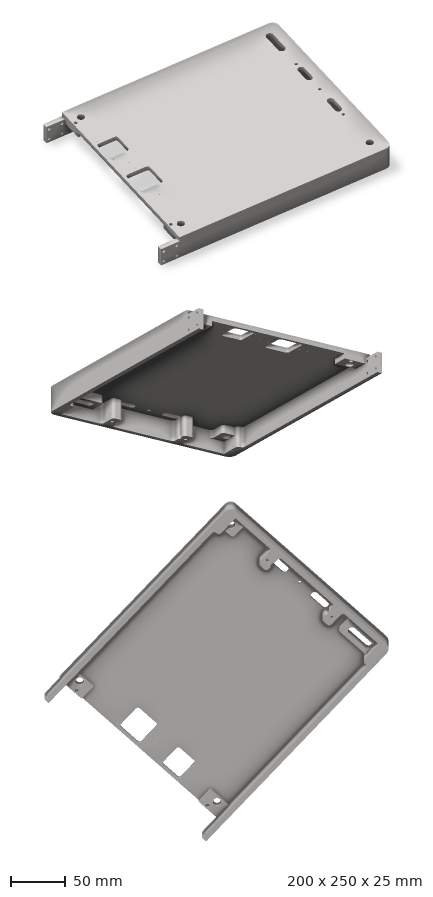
import cadquery as cq

WIDTH = 200.0
PLATE_LENGTH = 230.0
HEIGHT = 25.0
PLATE_THICKNESS = 5.0
WALL = 5.0
OUTER_CORNER_RADIUS = 7.0
INNER_RADIUS = 3.0
CAVITY_HEIGHT = HEIGHT - PLATE_THICKNESS
INNER_X = WIDTH / 2 - WALL
INNER_BACK_Y = PLATE_LENGTH - WALL

ARM_LENGTH = 20.0
ARM_HOLE_DIAMETER = 3.0
ARM_HOLE_SPACING_Y = 14.0
ARM_HOLE_SPACING_Z = 12.0

MOUNT_HOLE_DIAMETER = 7.5
MOUNT_HOLE_X = 85.0
FRONT_MOUNT_HOLE_Y = 11.0
BACK_ROW_Y = PLATE_LENGTH - 15.0
MOUNT_SLOT_TRAVEL = 20.0
EDGE_HOLE_DIAMETER = 3.5
EDGE_HOLE_X = 81.0
EDGE_HOLE_Y = 2.75

CABLE_SLOT_LENGTH = 20.0
CABLE_SLOT_WIDTH = 7.0
CABLE_SLOT_X = 25.0
BACK_SCREW_DIAMETER = 3.0
BACK_SCREW_SPACING = 40.0

WINDOW_FRONT_Y = 3.0
WINDOW_RADIUS = 2.5
SMALL_WINDOW_X = -35.0
SMALL_WINDOW_SIZE = 22.0
LARGE_WINDOW_X = 16.0
LARGE_WINDOW_WIDTH = 25.5
LARGE_WINDOW_LENGTH = 25.0
PILOT_DIAMETER = 0.8
SMALL_WINDOW_PILOT_OFFSET = 13.75
SMALL_WINDOW_PILOT_Y = 5.75
LARGE_WINDOW_PILOT_OFFSETS = (17.0, 26.0)
LARGE_WINDOW_PILOT_Y = 15.25

FRONT_BLOCK_INNER_X = 72.5
FRONT_BLOCK_DEPTH = 16.0
FRONT_BLOCK_HEIGHT = 5.0
BACK_BLOCK_HEIGHT = 8.0
BACK_BLOCK_LEFT_END_X = -54.5
BACK_BLOCK_RIGHT_END_X = 75.5
BACK_DEPTH = 18.0
RIB_WIDTH = 10.5
RIB_X = 39.0
CORNER_POST_WIDTH = 6.2
CORNER_POST_DEPTH = 22.0


def box(x_range, y_range, z_range):
    """Axis-aligned box between the given pairs of limits."""
    spans = [end - start for start, end in (x_range, y_range, z_range)]
    return cq.Workplane().box(*spans, centered=False).translate((x_range[0], y_range[0], z_range[0]))


def corner_fill(corner_x, corner_y, x_direction, y_direction, z_range):
    """Concave fillet filling an inside corner; the directions point into the open space."""
    center = (corner_x + x_direction * INNER_RADIUS, corner_y + y_direction * INNER_RADIUS)
    x_range = sorted((corner_x, center[0]))
    y_range = sorted((corner_y, center[1]))
    z_start, z_end = z_range
    round_space = (
        cq.Workplane("XY", origin=(0, 0, z_start))
        .center(*center)
        .circle(INNER_RADIUS)
        .extrude(z_end - z_start)
    )
    return box(x_range, y_range, z_range).cut(round_space)


def make_shell():
    """Plate with side and back walls, open at the bottom and the front, and two arms."""
    shell = box((-WIDTH / 2, WIDTH / 2), (0, PLATE_LENGTH), (0, HEIGHT))
    shell = shell.edges("|Z and >Y").fillet(OUTER_CORNER_RADIUS)
    shell = shell.cut(box((-INNER_X, INNER_X), (0, INNER_BACK_Y), (0, CAVITY_HEIGHT)))
    for x_range in ((-WIDTH / 2, -INNER_X), (INNER_X, WIDTH / 2)):
        shell = shell.union(box(x_range, (-ARM_LENGTH, WALL), (0, CAVITY_HEIGHT)))
    return shell


def add_front_blocks(body):
    """Thicker plate in both front corners, around the mounting holes."""
    z_range = (CAVITY_HEIGHT - FRONT_BLOCK_HEIGHT, CAVITY_HEIGHT)
    for x_range in ((-INNER_X, -FRONT_BLOCK_INNER_X), (FRONT_BLOCK_INNER_X, INNER_X)):
        body = body.union(box(x_range, (0, FRONT_BLOCK_DEPTH), z_range))
    return body


def add_back_blocks(body):
    """Thicker plate around the mounting slot and the mounting hole of the back row."""
    z_range = (CAVITY_HEIGHT - BACK_BLOCK_HEIGHT, CAVITY_HEIGHT)
    y_range = (INNER_BACK_Y - BACK_DEPTH, INNER_BACK_Y)
    left = box((-INNER_X, BACK_BLOCK_LEFT_END_X), y_range, z_range)
    right = box((BACK_BLOCK_RIGHT_END_X, INNER_X), y_range, z_range)
    body = body.union(left.edges("|Z and >X and <Y").fillet(INNER_RADIUS))
    body = body.union(right.edges("|Z and <X and <Y").fillet(INNER_RADIUS))
    return body.union(corner_fill(BACK_BLOCK_RIGHT_END_X, INNER_BACK_Y, -1, -1, z_range))


def add_back_ribs(body):
    """Full-height ribs on the back wall, rounded at the front and filleted into the wall."""
    z_range = (0, CAVITY_HEIGHT)
    y_range = (INNER_BACK_Y - BACK_DEPTH, INNER_BACK_Y)
    for rib_x, filleted_flanks in ((-RIB_X, (-1, 1)), (RIB_X, (-1,))):
        rib = box((rib_x - RIB_WIDTH / 2, rib_x + RIB_WIDTH / 2), y_range, z_range)
        body = body.union(rib.edges("|Z and <Y").fillet(INNER_RADIUS))
        for flank in filleted_flanks:
            flank_x = rib_x + flank * RIB_WIDTH / 2
            body = body.union(corner_fill(flank_x, INNER_BACK_Y, flank, -1, z_range))
    return body


def add_corner_posts(body):
    """Full-height posts in the back corners, rounded and filleted into the side walls."""
    z_range = (0, CAVITY_HEIGHT)
    post_front_y = INNER_BACK_Y - CORNER_POST_DEPTH
    for side, free_edge in ((-1, "|Z and >X and <Y"), (1, "|Z and <X and <Y")):
        wall_x = side * INNER_X
        x_range = sorted((wall_x, wall_x - side * CORNER_POST_WIDTH))
        post = box(x_range, (post_front_y, INNER_BACK_Y), z_range)
        body = body.union(post.edges(free_edge).fillet(INNER_RADIUS))
        body = body.union(corner_fill(wall_x, post_front_y, -side, -1, z_range))
    return body


def cut_holes(body, points, diameter):
    """Round holes along Z through the full height of the body."""
    return body.cut(cq.Workplane().pushPoints(points).circle(diameter / 2).extrude(HEIGHT))


def cut_back_row(body):
    """Mounting slot and hole, cable slots and screw holes along the back edge."""
    mount_slot = (
        cq.Workplane()
        .center(-MOUNT_HOLE_X + MOUNT_SLOT_TRAVEL / 2, BACK_ROW_Y)
        .slot2D(MOUNT_SLOT_TRAVEL + MOUNT_HOLE_DIAMETER, MOUNT_HOLE_DIAMETER)
        .extrude(HEIGHT)
    )
    cable_slots = (
        cq.Workplane()
        .pushPoints([(-CABLE_SLOT_X, BACK_ROW_Y), (CABLE_SLOT_X, BACK_ROW_Y)])
        .slot2D(CABLE_SLOT_LENGTH, CABLE_SLOT_WIDTH)
        .extrude(HEIGHT)
    )
    body = body.cut(mount_slot).cut(cable_slots)
    body = cut_holes(body, [(MOUNT_HOLE_X, BACK_ROW_Y)], MOUNT_HOLE_DIAMETER)
    screws = [(step * BACK_SCREW_SPACING, BACK_ROW_Y) for step in (-1, 0, 1)]
    return cut_holes(body, screws, BACK_SCREW_DIAMETER)


def cut_front_holes(body):
    """Mounting holes and smaller edge holes in the front corners."""
    mounts = [(side * MOUNT_HOLE_X, FRONT_MOUNT_HOLE_Y) for side in (-1, 1)]
    edge_holes = [(side * EDGE_HOLE_X, EDGE_HOLE_Y) for side in (-1, 1)]
    body = cut_holes(body, mounts, MOUNT_HOLE_DIAMETER)
    return cut_holes(body, edge_holes, EDGE_HOLE_DIAMETER)


def cut_window(body, center_x, width, length):
    """Rectangular window with rounded corners."""
    x_range = (center_x - width / 2, center_x + width / 2)
    window = box(x_range, (WINDOW_FRONT_Y, WINDOW_FRONT_Y + length), (0, HEIGHT))
    return body.cut(window.edges("|Z").fillet(WINDOW_RADIUS))


def cut_windows(body):
    """Both windows and the pilot holes on either side of them."""
    body = cut_window(body, SMALL_WINDOW_X, SMALL_WINDOW_SIZE, SMALL_WINDOW_SIZE)
    body = cut_window(body, LARGE_WINDOW_X, LARGE_WINDOW_WIDTH, LARGE_WINDOW_LENGTH)
    pilots = []
    for side in (-1, 1):
        pilots.append((SMALL_WINDOW_X + side * SMALL_WINDOW_PILOT_OFFSET, SMALL_WINDOW_PILOT_Y))
        for offset in LARGE_WINDOW_PILOT_OFFSETS:
            pilots.append((LARGE_WINDOW_X + side * offset, LARGE_WINDOW_PILOT_Y))
    return cut_holes(body, pilots, PILOT_DIAMETER)


def cut_arm_holes(body):
    """Four screw holes along X through each arm."""
    drills = (
        cq.Workplane("YZ", origin=(-WIDTH / 2, -ARM_LENGTH / 2, CAVITY_HEIGHT / 2))
        .rect(ARM_HOLE_SPACING_Y, ARM_HOLE_SPACING_Z, forConstruction=True)
        .vertices()
        .circle(ARM_HOLE_DIAMETER / 2)
        .extrude(WIDTH)
    )
    return body.cut(drills)


part = make_shell()
part = add_front_blocks(part)
part = add_back_blocks(part)
part = add_back_ribs(part)
part = add_corner_posts(part)
part = cut_back_row(part)
part = cut_front_holes(part)
part = cut_windows(part)
result = cut_arm_holes(part)